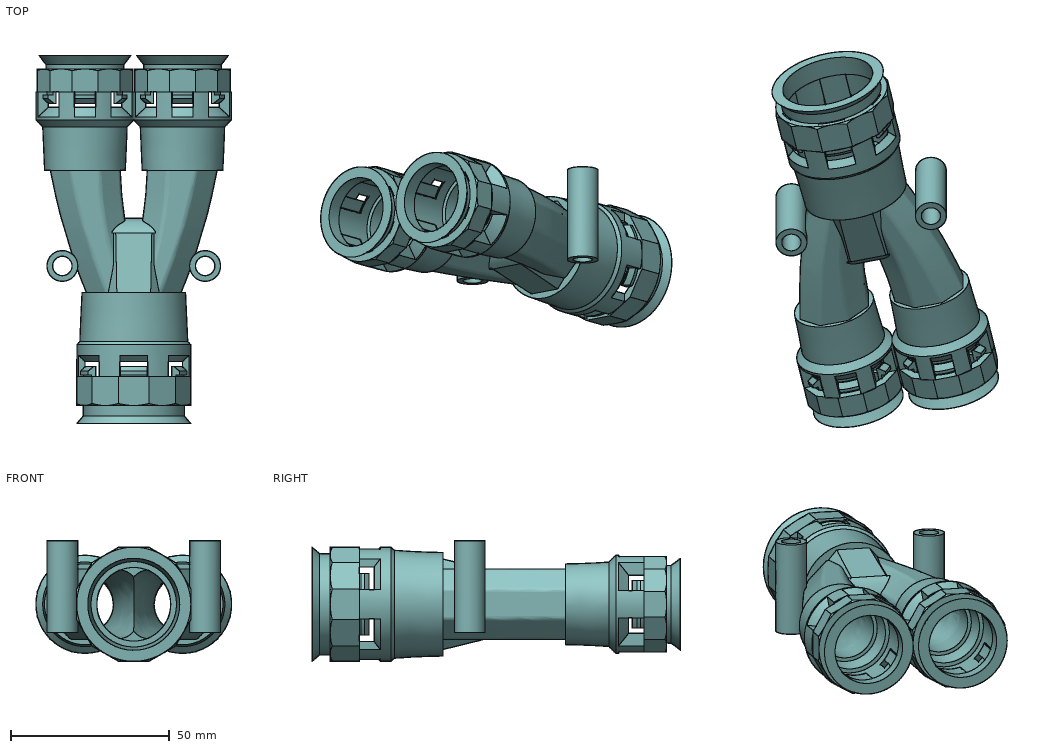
import cadquery as cq

TOTAL_LENGTH = 116.0
TOTAL_WIDTH = 61.7
OUTLET_PITCH = 30.7
OUTLET_X = OUTLET_PITCH / 2
NUT_SIDES = 12
NUT_CHAMFER = 0.3
CUTTER_SIZE = 92.8

HUB = dict(
    mouth_radius=14.5,
    flange_radius=18.0,
    flange_length=2.3,
    bore_radius=16.0,
    passage_radius=11.6,
    nut_start=5.7,
    nut_end=14.8,
    nut_apothem=18.0,
    rim_radius=18.0,
    rim_end=24.8,
    body_start=25.9,
    body_start_radius=17.0,
    body_end=41.3,
    body_end_radius=16.3,
    window_end=21.5,
    window_half_width=4.4,
    corner_window_x=10.9,
    corner_window_z=4.6,
    collet_ring_length=6.4,
    finger_half_width=4.2,
    finger_inner_radius=15.4,
    finger_outer_radius=16.5,
    corner_finger_top=9.7,
    hook_radius=17.4,
    hook_start=15.3,
    hook_end=16.5,
    finger_length=18.0,
    seal_start=22.0,
    seal_end=30.1,
    seal_throat_radius=13.5,
)
OUTLET = dict(
    mouth_radius=11.0,
    flange_radius=14.5,
    flange_length=2.9,
    bore_radius=12.3,
    passage_radius=8.9,
    nut_start=4.3,
    nut_end=11.5,
    nut_apothem=15.1,
    rim_radius=TOTAL_WIDTH / 2 - OUTLET_X,
    rim_end=20.3,
    body_start=22.5,
    body_start_radius=13.3,
    body_end=36.2,
    body_end_radius=12.8,
    window_end=19.5,
    window_half_width=3.4,
    corner_window_x=8.2,
    corner_window_z=4.3,
    collet_ring_length=4.9,
    finger_half_width=3.2,
    finger_inner_radius=11.8,
    finger_outer_radius=12.6,
    corner_finger_top=7.5,
    hook_radius=13.9,
    hook_start=12.5,
    hook_end=13.6,
    finger_length=15.2,
    seal_start=20.3,
    seal_end=26.7,
    seal_throat_radius=10.1,
)

ARM_HALF_HEIGHT = 11.1
ARM_SIDE_HALF_HEIGHT = 4.6
ARM_BEVEL_WIDTH = ARM_HALF_HEIGHT - ARM_SIDE_HALF_HEIGHT
ARM_EDGE_RADIUS = 2.0
ARM_EMBED = 1.2
ARM_OUTLET_Y = TOTAL_LENGTH - OUTLET["body_end"]
ARM_MIDDLE_Y = 62.0
ARM_MIDDLE_X = 12.3
ARM_MIDDLE_HALF_WIDTH = 9.9
ARM_HUB_X = 5.5
ARM_HUB_HALF_WIDTH = 9.0

PASSAGE_HUB_Y = 36.0
PASSAGE_HUB_HALF_WIDTH = 7.2
PASSAGE_HUB_HALF_HEIGHT = 10.8
PASSAGE_MIDDLE_HALF_WIDTH = 7.9
PASSAGE_MIDDLE_HALF_HEIGHT = 9.3

WEB_HUB_HALF_WIDTH = 8.1
WEB_HUB_TOP_HALF_WIDTH = 5.3
WEB_HUB_SIDE_HALF_HEIGHT = 11.0
WEB_HUB_HALF_HEIGHT = 14.3
WEB_SHOULDER_Y = 60.1
WEB_SHOULDER_HALF_WIDTH = 6.8
WEB_SHOULDER_TOP_HALF_WIDTH = 5.7
WEB_SHOULDER_SIDE_HALF_HEIGHT = 8.3
WEB_SHOULDER_HALF_HEIGHT = 9.6
WEB_NOSE_LENGTH = 4.6
WEB_NOSE_CORNER_RADIUS = 4.5

SLEEVE_X = 22.5
SLEEVE_Y = 49.6
SLEEVE_RADIUS = 4.9
SLEEVE_HOLE_RADIUS = 3.0
SLEEVE_HEIGHT = 29.0
SLEEVE_TOP_Z = 20.1


def turned(points):
    """Solid of revolution about Y from (radius, y) points."""
    return cq.Workplane("XY").polyline(points).close().revolve(360, (0, 0, 0), (0, 1, 0))


def box_between(x0, x1, z0, z1):
    """Long box along Y with the given X and Z limits."""
    box = cq.Workplane("XY").box(x1 - x0, CUTTER_SIZE, z1 - z0)
    return box.translate(((x0 + x1) / 2, CUTTER_SIZE / 2, (z0 + z1) / 2))


def six_places(half_width, corner_x, corner_z, corner_top):
    """Boxes above, below and in the four corners, where the windows and fingers lie."""
    places = box_between(-half_width, half_width, -CUTTER_SIZE, CUTTER_SIZE)
    corner = box_between(corner_x, CUTTER_SIZE, corner_z, corner_top)
    for mirrored in (corner, corner.mirror("YZ")):
        places = places.union(mirrored).union(mirrored.mirror("XY"))
    return places



def socket_nut(s):
    """Twelve-sided band, with its corners chamfered at the mouth."""
    length = s["nut_end"] - s["nut_start"]
    blank = cq.Workplane("XZ").polygon(NUT_SIDES, 2 * s["nut_apothem"], circumscribed=True).extrude(-length)
    blank = blank.translate((0, s["nut_start"], 0))
    cone_radius = s["nut_apothem"] + NUT_CHAMFER
    reach = length + NUT_CHAMFER
    cone = turned([
        (0, s["nut_start"]),
        (s["nut_apothem"], s["nut_start"]),
        (cone_radius + length, s["nut_start"] + reach),
        (0, s["nut_start"] + reach),
    ])
    return blank.intersect(cone)


def socket_body(s):
    """Round rim behind the nut, and the tapered body that follows it."""
    return turned([
        (0, s["nut_end"]),
        (s["rim_radius"], s["nut_end"]),
        (s["rim_radius"], s["rim_end"]),
        (s["body_start_radius"], s["body_start"]),
        (s["body_end_radius"], s["body_end"]),
        (0, s["body_end"]),
    ])


def socket_bore(s):
    return turned([
        (0, 0),
        (s["bore_radius"], 0),
        (s["bore_radius"], s["seal_end"]),
        (0, s["seal_end"]),
    ])


def socket_windows(s):
    """Six windows in the rim; their far walls slope at 45 degrees."""
    inner_radius = s["bore_radius"] - 1.2
    wall_slope = s["rim_radius"] - inner_radius
    ring = turned([
        (inner_radius, s["nut_end"]),
        (s["rim_radius"], s["nut_end"]),
        (s["rim_radius"], s["window_end"]),
        (inner_radius, s["window_end"] - wall_slope),
    ])
    return ring.intersect(
        six_places(s["window_half_width"], s["corner_window_x"], s["corner_window_z"], CUTTER_SIZE)
    )


def finger_places(s):
    return six_places(s["finger_half_width"], 0, s["corner_window_z"], s["corner_finger_top"])


def finger_slots(s):
    """Slots along the inside of the nut that the collet fingers fill."""
    ring = turned([
        (s["finger_inner_radius"], s["nut_start"]),
        (s["finger_outer_radius"], s["nut_start"]),
        (s["finger_outer_radius"], s["nut_end"]),
        (s["finger_inner_radius"], s["nut_end"]),
    ])
    return ring.intersect(finger_places(s))


def socket_hollow(s):
    return socket_bore(s).union(socket_windows(s)).union(finger_slots(s))



def make_collet(s):
    """Flanged ring with six fingers whose hooks snap into the windows."""
    ring = turned([
        (s["mouth_radius"], 0),
        (s["flange_radius"], 0),
        (s["bore_radius"], s["flange_length"]),
        (s["bore_radius"], s["collet_ring_length"]),
        (s["mouth_radius"], s["collet_ring_length"]),
    ])
    finger_ring = turned([
        (s["finger_inner_radius"], s["nut_start"]),
        (s["finger_outer_radius"], s["nut_start"]),
        (s["finger_outer_radius"], s["hook_start"]),
        (s["hook_radius"], s["hook_start"]),
        (s["hook_radius"], s["hook_end"]),
        (s["bore_radius"], s["finger_length"]),
        (s["finger_inner_radius"], s["finger_length"]),
    ])
    return ring.union(finger_ring.intersect(finger_places(s)))


def make_seal(s):
    """Ring against the shoulder of the bore, with a tapered opening."""
    return turned([
        (s["mouth_radius"], s["seal_start"]),
        (s["bore_radius"], s["seal_start"]),
        (s["bore_radius"], s["seal_end"]),
        (s["seal_throat_radius"], s["seal_end"]),
    ])


def at_outlet(part, side):
    """Turn a part round so that its mouth faces +Y, and put it at one outlet."""
    return part.rotate((0, 0, 0), (0, 0, 1), 180).translate((side * OUTLET_X, TOTAL_LENGTH, 0))



def octagon(x, y, half_width, side_half_height, top_half_width, half_height):
    """Octagon wire parallel to the XZ plane, symmetric about its centre at (x, y, 0)."""
    quarter = [(half_width, side_half_height), (top_half_width, half_height)]
    upper = quarter + [(-px, pz) for px, pz in reversed(quarter)]
    outline = upper + [(-px, -pz) for px, pz in upper]
    return cq.Wire.makePolygon([cq.Vector(x + px, y, pz) for px, pz in outline], close=True)


def arm_section(x, y, half_width):
    """Octagon with rounded corners."""
    top_half_width = half_width - ARM_BEVEL_WIDTH
    wire = octagon(x, y, half_width, ARM_SIDE_HALF_HEIGHT, top_half_width, ARM_HALF_HEIGHT)
    return wire.fillet2D(ARM_EDGE_RADIUS, wire.Vertices())


def make_arm():
    """The arm on the +X side."""
    return cq.Workplane(cq.Solid.makeLoft([
        arm_section(ARM_HUB_X, HUB["body_end"] - ARM_EMBED, ARM_HUB_HALF_WIDTH),
        arm_section(ARM_MIDDLE_X, ARM_MIDDLE_Y, ARM_MIDDLE_HALF_WIDTH),
        arm_section(OUTLET_X, ARM_OUTLET_Y + ARM_EMBED, ARM_HALF_HEIGHT),
    ]))


def make_arm_passage():
    """Oval passage through the +X arm, which turns round at the outlet."""
    middle_offset = ARM_MIDDLE_Y - PASSAGE_HUB_Y
    return (
        cq.Workplane("XZ", origin=(0, PASSAGE_HUB_Y, 0))
        .center(HUB["passage_radius"] - PASSAGE_HUB_HALF_WIDTH, 0)
        .ellipse(PASSAGE_HUB_HALF_WIDTH, PASSAGE_HUB_HALF_HEIGHT)
        .workplane(offset=-middle_offset, origin=(ARM_MIDDLE_X, PASSAGE_HUB_Y, 0))
        .ellipse(PASSAGE_MIDDLE_HALF_WIDTH, PASSAGE_MIDDLE_HALF_HEIGHT)
        .workplane(offset=ARM_MIDDLE_Y - ARM_OUTLET_Y, origin=(OUTLET_X, ARM_MIDDLE_Y, 0))
        .ellipse(OUTLET["passage_radius"], OUTLET["passage_radius"])
        .loft(combine=True)
    )


def make_web():
    """Wedge that thins from the hub to a shoulder, and its nose beyond the shoulder."""
    wedge = cq.Workplane(cq.Solid.makeLoft(
        [
            octagon(
                0, HUB["body_end"], WEB_HUB_HALF_WIDTH,
                WEB_HUB_SIDE_HALF_HEIGHT, WEB_HUB_TOP_HALF_WIDTH, WEB_HUB_HALF_HEIGHT,
            ),
            octagon(
                0, WEB_SHOULDER_Y, WEB_SHOULDER_HALF_WIDTH,
                WEB_SHOULDER_SIDE_HALF_HEIGHT, WEB_SHOULDER_TOP_HALF_WIDTH, WEB_SHOULDER_HALF_HEIGHT,
            ),
        ],
        True,
    ))
    nose = (
        cq.Workplane("YZ", origin=(0, WEB_SHOULDER_Y, 0))
        .moveTo(0, -WEB_SHOULDER_HALF_HEIGHT)
        .threePointArc((WEB_NOSE_LENGTH, 0), (0, WEB_SHOULDER_HALF_HEIGHT))
        .close()
        .extrude(WEB_SHOULDER_HALF_WIDTH, both=True)
    )
    nose_plan = (
        cq.Workplane("XY")
        .box(2 * WEB_SHOULDER_HALF_WIDTH, 2 * WEB_NOSE_LENGTH, 2 * WEB_SHOULDER_HALF_HEIGHT)
        .edges("|Z and >Y")
        .fillet(WEB_NOSE_CORNER_RADIUS)
        .translate((0, WEB_SHOULDER_Y, 0))
    )
    return wedge.union(nose.intersect(nose_plan))


def sleeve_cylinder(side, radius):
    bottom = SLEEVE_TOP_Z - SLEEVE_HEIGHT
    return (
        cq.Workplane("XY", origin=(side * SLEEVE_X, SLEEVE_Y, bottom))
        .circle(radius)
        .extrude(SLEEVE_HEIGHT)
    )


def make_housing():
    arm = make_arm()
    passage = make_arm_passage()
    outlet_shell = socket_nut(OUTLET).union(socket_body(OUTLET))
    outlet_hollow = socket_hollow(OUTLET)
    outlet_passage = cq.Workplane("XZ").circle(OUTLET["passage_radius"]).extrude(-OUTLET["body_end"])

    housing = socket_nut(HUB).union(socket_body(HUB)).union(make_web())
    for side in (-1, 1):
        housing = housing.union(arm if side > 0 else arm.mirror("YZ"))
        housing = housing.union(at_outlet(outlet_shell, side))
        housing = housing.union(sleeve_cylinder(side, SLEEVE_RADIUS))

    housing = housing.cut(socket_hollow(HUB))
    housing = housing.cut(cq.Workplane("XZ").circle(HUB["passage_radius"]).extrude(-PASSAGE_HUB_Y))
    for side in (-1, 1):
        housing = housing.cut(passage if side > 0 else passage.mirror("YZ"))
        housing = housing.cut(at_outlet(outlet_hollow, side))
        housing = housing.cut(at_outlet(outlet_passage, side))
        housing = housing.cut(sleeve_cylinder(side, SLEEVE_HOLE_RADIUS))
    return housing



housing = make_housing()
collets = [make_collet(HUB)]
seals = [make_seal(HUB)]
for outlet_side in (-1, 1):
    collets.append(at_outlet(make_collet(OUTLET), outlet_side))
    seals.append(at_outlet(make_seal(OUTLET), outlet_side))

result = cq.Compound.makeCompound([
    housing.val(),
    *[collet.val() for collet in collets],
    *[seal.val() for seal in seals],
])